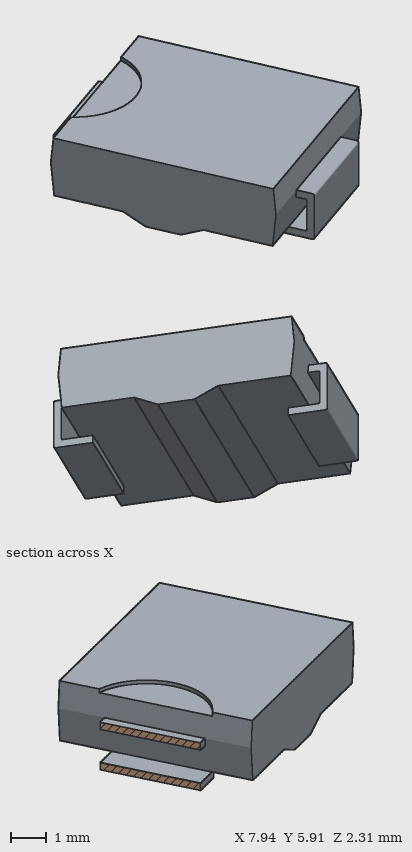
import cadquery as cq

length = 7.94
width = 5.91
height = 2.31

ridge_height = 1.49
ridge_half_width = 3.42
top_half_width = 3.34
bottom_half_width = 3.32
body_bottom = 0.44
pad_bottom = 0.11
pad_root_half_width = 1.22
pad_tip_half_width = 0.53

lead_width = 3.07
lead_thickness = 0.23
foot_length = 1.14
outer_bend_radius = 0.07
inner_bend_radius = 0.05
lead_embed = 0.08

mark_radius = 1.84
mark_depth = 0.11


def extrude_across(profile, across):
    """Extrude an XZ profile along Y, centred on Y = 0."""
    return profile.extrude(across / 2, both=True)


def make_body():
    right_side = [
        (pad_tip_half_width, pad_bottom),
        (pad_root_half_width, body_bottom),
        (bottom_half_width, body_bottom),
        (ridge_half_width, ridge_height),
        (top_half_width, height),
    ]
    left_side = [(-x, z) for x, z in reversed(right_side)]
    return extrude_across(cq.Workplane("XZ").polyline(right_side + left_side).close(), width)


def make_left_lead():
    outer_x = -length / 2
    inner_x = outer_x + lead_thickness
    foot_end = outer_x + foot_length
    arm_end = -bottom_half_width + lead_embed
    arm_bottom = ridge_height - lead_thickness
    outline = [
        (foot_end, 0),
        (outer_x, 0),
        (outer_x, ridge_height),
        (arm_end, ridge_height),
        (arm_end, arm_bottom),
        (inner_x, arm_bottom),
        (inner_x, lead_thickness),
        (foot_end, lead_thickness),
    ]
    lead = extrude_across(cq.Workplane("XZ").polyline(outline).close(), lead_width)
    lead = lead.edges("|Y and <X").fillet(outer_bend_radius)
    inner_bends = cq.selectors.BoxSelector(
        (inner_x - inner_bend_radius, -lead_width, lead_thickness - inner_bend_radius),
        (inner_x + inner_bend_radius, lead_width, arm_bottom + inner_bend_radius),
    )
    return lead.edges("|Y").edges(inner_bends).fillet(inner_bend_radius)


def make_mark_cutter():
    return (
        cq.Workplane("XY", origin=(-length / 2, 0, height - mark_depth))
        .circle(mark_radius)
        .extrude(mark_depth)
    )


left_lead = make_left_lead()
right_lead = left_lead.mirror("YZ")
result = make_body().cut(make_mark_cutter()).union(left_lead).union(right_lead)